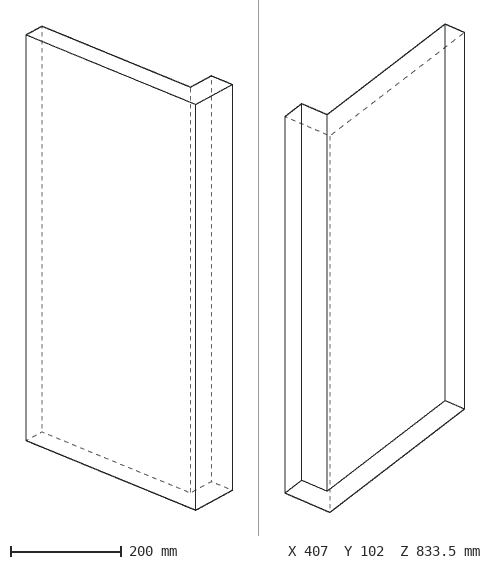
import cadquery as cq

width = 407.0
depth = 102.0
height = 833.5

plate_thickness = 44.0
return_thickness = 51.0

outline = [
    (0, 0),
    (width, 0),
    (width, depth),
    (width - return_thickness, depth),
    (width - return_thickness, plate_thickness),
    (0, plate_thickness),
]

result = cq.Workplane("XY").polyline(outline).close().extrude(height)